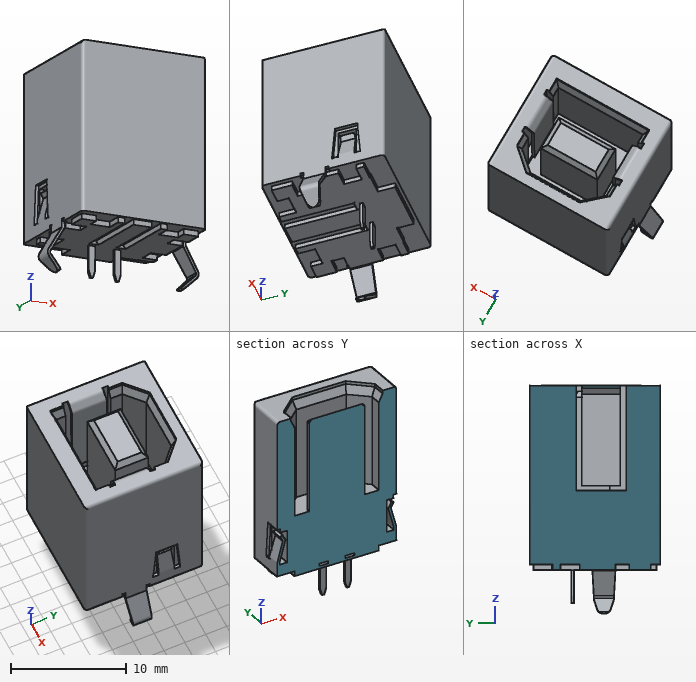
import cadquery as cq
import math

total_height = 19.8
body_x = 12.08
body_y = 11.3
body_bottom = 4.28
edge_radius = 0.32
sheet = 0.3

mouth_half = 4.61
mouth_back = 4.63
mouth_front = -3.98
corner_x = 2.7
corner_y = 2.91
taper_inset = 0.4
corner_inset = 0.18
taper_depth = 0.8
cavity_floor = 9.9

tongue_x = 5.66
tongue_y = 3.17
tongue_y_centre = 0.32
tongue_top = 19.27
tongue_bevel_side = 0.44
tongue_bevel_height = 0.5

spring_y_centre = -0.53
spring_width = 3.33
spring_slot_width = 4.32
spring_slot_half = 4.85
spring_slot_bottom = 10.7
spring_tip_x = 3.88
spring_tip_z = 11.09
spring_shoulder_x = 4.55
spring_neck_x = 3.95
spring_roll_drop = 0.67
spring_roll_radius = 0.44
spring_sheet = 0.25

latch_y = 2.15
latch_bottom = 5.45
latch_top = 8.95
latch_bottom_width = 2.61
latch_top_width = 2.05
latch_tab_bottom_width = 1.52
latch_tab_top_width = 1.27
latch_pocket_width = 1.68
latch_pocket_top = 8.6
latch_pocket_depth = 0.99
latch_root = 5.7
latch_kink = 7.72
latch_tip = 8.18
latch_tab_top = 8.34
latch_lean = 0.55
latch_tip_radius = 0.3

foot_bottom = 3.78
base_half_x = 5.68
base_half_y = 5.35
core_half_x = 4.25
core_half_y = 3.76
end_foot_half_x = 2.4
side_foot_edges = ((-4.83, -2.95), (-1.78, 1.33), (2.97, 3.68))
pin_slot_inner = 0.9
pin_slot_outer = 1.76

pin_pitch = 2.51
pin_width = 0.61
pin_thickness = 0.25
pin_y = 1.95
pin_end = 0.93
pin_point_start = 1.55
pin_point_width = 0.22

clip_y = -0.77
clip_root_width = 2.02
clip_knee_width = 1.75
clip_tip_width = 1.27
clip_sheet = 0.25
clip_reach = 7.35
clip_bend_z = 3.82
clip_knee_top = 1.62
clip_knee_bottom = 1.23
clip_knee_radius = 0.55
clip_tip_x = 6.05
clip_tip_round = 0.5
clip_relief_width = 2.61
clip_relief_height = 0.3

half_x = body_x / 2


def box(x_min, x_max, y_min, y_max, z_min, z_max):
    size = (x_max - x_min, y_max - y_min, z_max - z_min)
    return cq.Workplane("XY").box(*size, centered=False).translate((x_min, y_min, z_min))


def bent_strip(path, thickness, width, y_centre):
    """Sheet strip along an XZ path, thickened toward the right of the travel direction."""
    normals = []
    for (x0, z0), (x1, z1) in zip(path, path[1:]):
        length = math.hypot(x1 - x0, z1 - z0)
        normals.append(((z1 - z0) / length, (x0 - x1) / length))
    before = normals[:1] + normals
    after = normals + normals[-1:]
    offset = []
    for (x, z), (ax, az), (bx, bz) in zip(path, before, after):
        miter = thickness / (1 + ax * bx + az * bz)
        offset.append((x + miter * (ax + bx), z + miter * (az + bz)))
    outline = cq.Workplane("XZ").polyline(path + offset[::-1]).close()
    return outline.extrude(width / 2, both=True).translate((0, y_centre, 0))


def on_both_sides(shape):
    """A shape made for the -X side together with its mirror image on the +X side."""
    return shape.union(shape.mirror("YZ"))


def make_block():
    height = total_height - body_bottom
    block = box(-half_x, half_x, -body_y / 2, body_y / 2, body_bottom, total_height)
    block = block.edges("|Z").fillet(edge_radius)
    rounded_top = (
        cq.Workplane("XY")
        .box(body_x, body_y, height)
        .edges("|Y and >Z")
        .fillet(edge_radius)
        .translate((0, 0, body_bottom + height / 2))
    )
    return block.intersect(rounded_top)


def cavity_outline(inset, z):
    scaled_corner = corner_inset * inset / taper_inset
    half = mouth_half - inset
    back = mouth_back - inset
    front = mouth_front + inset
    flat_x = corner_x - scaled_corner
    flat_y = corner_y - scaled_corner
    points = [
        (-half, front), (half, front), (half, flat_y),
        (flat_x, back), (-flat_x, back), (-half, flat_y),
    ]
    return cq.Workplane("XY").workplane(offset=z).polyline(points).close()


def make_cavity():
    taper_top = total_height - sheet
    taper_bottom = taper_top - taper_depth
    mouth = cavity_outline(0, taper_top).extrude(sheet)
    upper = cavity_outline(0, taper_top).wires().vals()[0]
    lower = cavity_outline(taper_inset, taper_bottom).wires().vals()[0]
    lead_in = cq.Workplane(cq.Solid.makeLoft([lower, upper], True))
    well = cavity_outline(taper_inset, cavity_floor).extrude(taper_bottom - cavity_floor)
    return mouth.union(lead_in).union(well)


def make_tongue():
    height = tongue_top - cavity_floor
    return (
        cq.Workplane("XY")
        .box(tongue_x, tongue_y, height, centered=(True, True, False))
        .faces(">Z")
        .chamfer(tongue_bevel_height, tongue_bevel_side)
        .translate((0, tongue_y_centre, cavity_floor))
    )


def make_spring_slot():
    half_slot = spring_slot_width / 2
    return box(
        -spring_slot_half, taper_inset - mouth_half,
        spring_y_centre - half_slot, spring_y_centre + half_slot,
        spring_slot_bottom, total_height,
    )


def make_spring():
    shoulder = (-spring_shoulder_x, total_height)
    neck = (-spring_neck_x, total_height - spring_roll_drop)
    path = [(-spring_slot_half - sheet, total_height), shoulder, neck, (-spring_tip_x, spring_tip_z)]
    strip = bent_strip(path, spring_sheet, spring_width, spring_y_centre)
    for x, z in (shoulder, neck):
        corner = cq.selectors.NearestToPointSelector((x, spring_y_centre, z))
        strip = strip.edges("|Y").edges(corner).fillet(spring_roll_radius)
    return strip


def trapezoid_x(bottom_width, top_width, z_min, z_max, x_min, x_max):
    points = [
        (-bottom_width / 2, z_min), (bottom_width / 2, z_min),
        (top_width / 2, z_max), (-top_width / 2, z_max),
    ]
    prism = cq.Workplane("YZ").polyline(points).close().extrude(x_max - x_min)
    return prism.translate((x_min, latch_y, 0))


def make_latch_opening():
    half_pocket = latch_pocket_width / 2
    slot = trapezoid_x(
        latch_bottom_width, latch_top_width, latch_bottom, latch_top, -half_x, -half_x + sheet
    )
    pocket = box(
        -half_x, -half_x + latch_pocket_depth,
        latch_y - half_pocket, latch_y + half_pocket,
        latch_bottom, latch_pocket_top,
    )
    return slot.union(pocket)


def make_latch_tab():
    path = [
        (-half_x, latch_bottom), (-half_x, latch_root),
        (-half_x + latch_lean, latch_kink), (-half_x + latch_lean / 2, latch_tip),
    ]
    strip = bent_strip(path, sheet, latch_bottom_width, latch_y)
    outline = trapezoid_x(
        latch_tab_bottom_width, latch_tab_top_width, latch_bottom, latch_tab_top, -half_x, 0,
    )
    outline = outline.edges("|X and >Z").fillet(latch_tip_radius)
    return strip.intersect(outline)


def make_base():
    base = box(-core_half_x, core_half_x, -core_half_y, core_half_y, foot_bottom, body_bottom)
    end_feet = box(
        -end_foot_half_x, end_foot_half_x, -base_half_y, base_half_y, foot_bottom, body_bottom
    )
    base = base.union(end_feet)
    for y_min, y_max in side_foot_edges:
        foot = box(-base_half_x, -core_half_x, y_min, y_max, foot_bottom, body_bottom)
        base = base.union(on_both_sides(foot))
    return base


def make_pin_slot():
    slope_end = pin_y - pin_thickness / 2
    slope_start = slope_end - (body_bottom - foot_bottom)
    points = [
        (-base_half_y, foot_bottom), (slope_start, foot_bottom),
        (slope_end, body_bottom), (-base_half_y, body_bottom),
    ]
    slot = cq.Workplane("YZ").polyline(points).close().extrude(pin_slot_outer - pin_slot_inner)
    return slot.translate((-pin_slot_outer, 0, 0))


def make_pin():
    half = pin_width / 2
    half_point = pin_point_width / 2
    points = [
        (-half, body_bottom), (-half, pin_point_start), (-half_point, pin_end),
        (half_point, pin_end), (half, pin_point_start), (half, body_bottom),
    ]
    pin = cq.Workplane("XZ").polyline(points).close().extrude(pin_thickness / 2, both=True)
    return pin.translate((-pin_pitch / 2, pin_y, 0))


def make_clip_relief():
    def slot(width):
        return box(
            -half_x, -half_x + sheet, clip_y - width / 2, clip_y + width / 2,
            body_bottom, body_bottom + clip_relief_height,
        )
    return slot(clip_relief_width).cut(slot(clip_root_width))


def make_clip():
    root_top = body_bottom + clip_relief_height
    path = [
        (-clip_tip_x, 0), (-clip_reach, clip_knee_bottom), (-clip_reach, clip_knee_top),
        (-half_x, clip_bend_z), (-half_x, root_top),
    ]
    strip = bent_strip(path, clip_sheet, clip_root_width, clip_y)
    strip = strip.edges("|Y and <X").fillet(clip_knee_radius)
    outline = (
        cq.Workplane("YZ")
        .moveTo(-clip_root_width / 2, root_top)
        .lineTo(-clip_root_width / 2, foot_bottom)
        .lineTo(-clip_knee_width / 2, clip_knee_bottom)
        .lineTo(-clip_tip_width / 2, clip_tip_round)
        .threePointArc((0, 0), (clip_tip_width / 2, clip_tip_round))
        .lineTo(clip_knee_width / 2, clip_knee_bottom)
        .lineTo(clip_root_width / 2, foot_bottom)
        .lineTo(clip_root_width / 2, root_top)
        .close()
        .extrude(clip_reach, both=True)
        .translate((0, clip_y, 0))
    )
    return strip.intersect(outline)


result = (
    make_block()
    .cut(make_cavity())
    .cut(on_both_sides(make_spring_slot()))
    .union(make_tongue())
    .union(on_both_sides(make_spring()))
    .cut(on_both_sides(make_latch_opening()))
    .union(on_both_sides(make_latch_tab()))
    .union(make_base().cut(on_both_sides(make_pin_slot())))
    .union(on_both_sides(make_pin()))
    .cut(on_both_sides(make_clip_relief()))
    .union(on_both_sides(make_clip()))
)